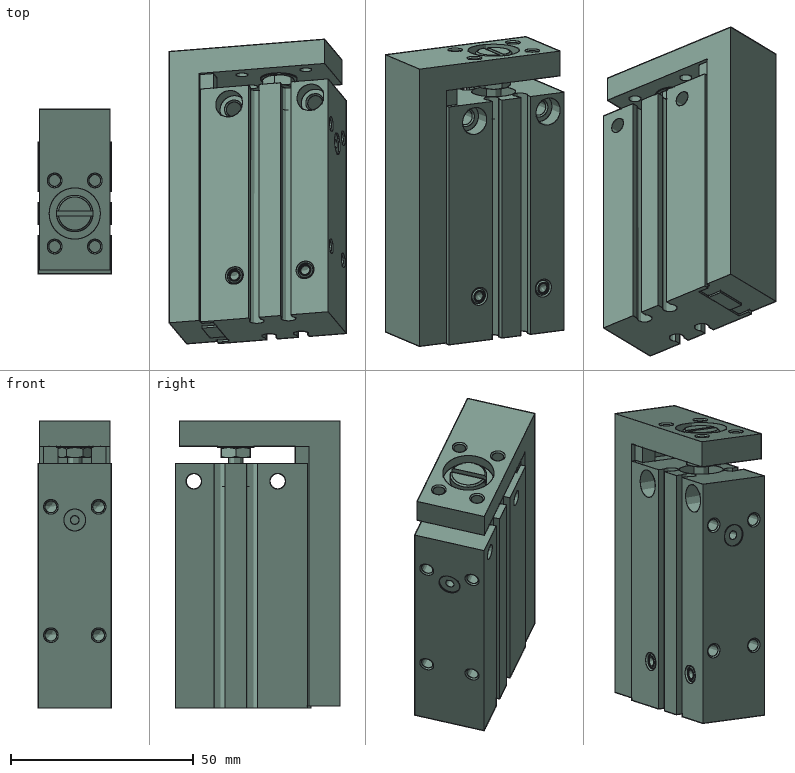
import cadquery as cq
import math


HOUSING_WIDTH = 20.0
HOUSING_DEPTH = 36.0
HOUSING_HEIGHT = 66.9
AXIS_Y = 16.5

TOTAL_HEIGHT = 78.5
TABLE_BACK = 45.0
TABLE_FRONT = 36.5
TABLE_BOTTOM = 0.55
TABLE_WIDTH = 19.4
TOP_PLATE_FRONT = 1.1
TOP_PLATE_BOTTOM = 71.5

GUIDE_WIDTH = 17.1
GUIDE_FRONT = 32.7
RAIL_WIDTH = 9.0
RAIL_BACK = 37.05

GROOVE_OFFSET = 4.5
GROOVE_MOUTH = 3.0
GROOVE_BORE = 4.0
GROOVE_BORE_INSET = 3.15

THREAD_MOUTH = 4.0
THREAD_CORE = 3.2
DRILL_POINT_ANGLE = 118.0
FRONT_HOLE_X = 6.5
FRONT_HOLE_ROWS = (19.9, 55.0)
FRONT_HOLE_DEPTH = 6.0
PLATE_HOLE_X = 5.5
PLATE_HOLE_OFFSET = 9.0

RELIEF_Z = 51.4
RELIEF_DIAMETER = 2.35
RELIEF_DEPTH = 4.7
RELIEF_SEAT_DIAMETER = 6.0
RELIEF_SEAT_DEPTH = 0.4

MOUNT_OFFSET = 11.5
MOUNT_Z = 62.0
MOUNT_SEAT_DIAMETER = 7.5
MOUNT_SEAT_DEPTH = 4.7
MOUNT_MOUTH = 5.0
MOUNT_CORE = 4.15

PORT_OFFSET = 10.0
PORT_Z = 12.55
PORT_MOUTH = 5.0
PORT_CORE = 4.15
PORT_DEPTH = 3.9

PLUG_RECESS = 0.15
PLUG_FACE_DIAMETER = 3.2
PLUG_HOLE_DIAMETER = 2.6
PLUG_HOLE_DEPTH = 0.2

GLAND_DIAMETER = 12.0
GLAND_DEPTH = 6.3

ROD_DIAMETER = 4.0
ROD_INSERTION = 7.85
NUT_SIDES = 6
NUT_FLATS = 8.0
NUT_BOTTOM = 68.45
NUT_CHAMFER_ANGLE = 30.0
SCREW_DIAMETER = 10.0
SCREW_BOTTOM = 71.2
SCREW_TOP = 78.2
SCREW_CHAMFER = 0.5
SLOT_WIDTH = 1.3
SLOT_DEPTH = 1.5
SCREW_SEAT_DIAMETER = 14.0
SCREW_SEAT_DEPTH = 3.0


def block(x_size, y_range, z_range):
    """Box centred on X = 0 between the given Y and Z limits."""
    y_low, y_high = y_range
    z_low, z_high = z_range
    corner = cq.Vector(-x_size / 2, y_low, z_low)
    return cq.Workplane(cq.Solid.makeBox(x_size, y_high - y_low, z_high - z_low, corner))


def drill(point, direction, diameter, depth, pointed=False):
    """Cutter for a round hole, with a conical end if pointed."""
    start = cq.Vector(*point)
    axis = cq.Vector(*direction)
    cutter = cq.Solid.makeCylinder(diameter / 2, depth, start, axis)
    if pointed:
        tip = diameter / 2 / math.tan(math.radians(DRILL_POINT_ANGLE / 2))
        cutter = cutter.fuse(cq.Solid.makeCone(diameter / 2, 0, tip, start + axis * depth, axis))
    return cutter


def countersink(point, direction, mouth, core):
    """Cutter for a 45 degree chamfer from the mouth diameter down to the core diameter."""
    depth = (mouth - core) / 2
    return cq.Solid.makeCone(mouth / 2, core / 2, depth, cq.Vector(*point), cq.Vector(*direction))


def make_sensor_grooves():
    """Cutters for the four grooves, two on each side."""
    cutters = []
    for side in (-1, 1):
        bore_x = side * (HOUSING_WIDTH / 2 - GROOVE_BORE_INSET)
        for offset in (-GROOVE_OFFSET, GROOVE_OFFSET):
            groove_y = AXIS_Y + offset
            cutters.append(drill((bore_x, groove_y, 0), (0, 0, 1), GROOVE_BORE, HOUSING_HEIGHT))
            mouth = block(
                GROOVE_BORE_INSET,
                (groove_y - GROOVE_MOUTH / 2, groove_y + GROOVE_MOUTH / 2),
                (0, HOUSING_HEIGHT),
            ).translate((side * (HOUSING_WIDTH - GROOVE_BORE_INSET) / 2, 0, 0))
            cutters.append(mouth.val())
    return cutters


def make_front_holes():
    """Cutters for the four threaded holes and the relief hole in the front face."""
    inward = (0, 1, 0)
    cutters = []
    for hole_x in (-FRONT_HOLE_X, FRONT_HOLE_X):
        for hole_z in FRONT_HOLE_ROWS:
            mouth = (hole_x, 0, hole_z)
            cutters.append(drill(mouth, inward, THREAD_CORE, FRONT_HOLE_DEPTH, pointed=True))
            cutters.append(countersink(mouth, inward, THREAD_MOUTH, THREAD_CORE))
    relief = (0, 0, RELIEF_Z)
    cutters.append(drill(relief, inward, RELIEF_SEAT_DIAMETER, RELIEF_SEAT_DEPTH))
    cutters.append(drill(relief, inward, RELIEF_DIAMETER, RELIEF_DEPTH))
    return cutters


def make_side_holes():
    """Cutters for the mounting holes and air ports entering from the left side."""
    inward = (1, 0, 0)
    left = -HOUSING_WIDTH / 2
    cutters = []
    for side in (-1, 1):
        mount_y = AXIS_Y + side * MOUNT_OFFSET
        mount_floor = (left + MOUNT_SEAT_DEPTH, mount_y, MOUNT_Z)
        cutters.append(drill((left, mount_y, MOUNT_Z), inward, MOUNT_SEAT_DIAMETER, MOUNT_SEAT_DEPTH))
        cutters.append(drill(mount_floor, inward, MOUNT_CORE, HOUSING_WIDTH - MOUNT_SEAT_DEPTH))
        cutters.append(countersink(mount_floor, inward, MOUNT_MOUTH, MOUNT_CORE))

        port = (left, AXIS_Y + side * PORT_OFFSET, PORT_Z)
        cutters.append(drill(port, inward, PORT_CORE, PORT_DEPTH))
        cutters.append(countersink(port, inward, PORT_MOUTH, PORT_CORE))
    return cutters


def make_housing():
    """Housing block with the guide slot, rod opening, sensor grooves and all holes."""
    body = block(HOUSING_WIDTH, (0, HOUSING_DEPTH), (0, HOUSING_HEIGHT))
    guide_slot = block(GUIDE_WIDTH, (GUIDE_FRONT, HOUSING_DEPTH), (0, HOUSING_HEIGHT))
    rod_mouth = (0, AXIS_Y, HOUSING_HEIGHT)
    gland = drill(rod_mouth, (0, 0, -1), GLAND_DIAMETER, GLAND_DEPTH)
    rod_hole = drill(rod_mouth, (0, 0, -1), ROD_DIAMETER, ROD_INSERTION)
    cutters = [guide_slot.val(), gland, rod_hole]
    cutters += make_sensor_grooves() + make_front_holes() + make_side_holes()
    for cutter in cutters:
        body = body.cut(cq.Workplane(cutter))
    return body


def make_table():
    """L-shaped table with the grooved guide, the screw seat and four threaded holes."""
    upright = block(TABLE_WIDTH, (TABLE_FRONT, TABLE_BACK), (TABLE_BOTTOM, TOTAL_HEIGHT))
    top_plate = block(TABLE_WIDTH, (TOP_PLATE_FRONT, TABLE_BACK), (TOP_PLATE_BOTTOM, TOTAL_HEIGHT))
    guide = block(GUIDE_WIDTH, (GUIDE_FRONT, TABLE_BACK), (TABLE_BOTTOM, TOTAL_HEIGHT))
    rail_channel = block(RAIL_WIDTH, (GUIDE_FRONT, RAIL_BACK), (TABLE_BOTTOM, TOP_PLATE_BOTTOM))
    table = upright.union(top_plate).union(guide).cut(rail_channel)

    down = (0, 0, -1)
    plate_thickness = TOTAL_HEIGHT - TOP_PLATE_BOTTOM
    seat = (0, AXIS_Y, TOTAL_HEIGHT)
    cutters = [
        drill(seat, down, SCREW_SEAT_DIAMETER, SCREW_SEAT_DEPTH),
        drill(seat, down, SCREW_DIAMETER, plate_thickness),
    ]
    for hole_x in (-PLATE_HOLE_X, PLATE_HOLE_X):
        for offset in (-PLATE_HOLE_OFFSET, PLATE_HOLE_OFFSET):
            mouth = (hole_x, AXIS_Y + offset, TOTAL_HEIGHT)
            cutters.append(drill(mouth, down, THREAD_CORE, plate_thickness))
            cutters.append(countersink(mouth, down, THREAD_MOUTH, THREAD_CORE))
    for cutter in cutters:
        table = table.cut(cq.Workplane(cutter))
    return table


def make_rail():
    """Rail on the floor of the guide slot, standing out behind the housing."""
    return block(RAIL_WIDTH, (GUIDE_FRONT, RAIL_BACK), (0, HOUSING_HEIGHT))


def make_plugs():
    """The two port plugs, each with a chamfered rim and a shallow drill hole in its outer end."""
    inward = (1, 0, 0)
    face_x = -HOUSING_WIDTH / 2 + PLUG_RECESS
    chamfer = (PORT_CORE - PLUG_FACE_DIAMETER) / 2
    plugs = cq.Workplane()
    for side in (-1, 1):
        face = (face_x, AXIS_Y + side * PORT_OFFSET, PORT_Z)
        plug = cq.Workplane(drill(face, inward, PORT_CORE, PORT_DEPTH - PLUG_RECESS))
        plug = plug.faces("<X").chamfer(chamfer)
        hole = drill(face, inward, PLUG_HOLE_DIAMETER, PLUG_HOLE_DEPTH, pointed=True)
        plug = plug.cut(cq.Workplane(hole))
        plugs = plugs.add(plug.solids())
    return plugs


def make_rod():
    """Rod from inside the housing up to the floating screw."""
    bottom = HOUSING_HEIGHT - ROD_INSERTION
    return cq.Workplane(drill((0, AXIS_Y, bottom), (0, 0, 1), ROD_DIAMETER, SCREW_BOTTOM - bottom))


def make_nut():
    """Hexagon nut with two corners on X and both ends chamfered to the flats."""
    height = SCREW_BOTTOM - NUT_BOTTOM
    corner_radius = NUT_FLATS / 2 / math.cos(math.pi / NUT_SIDES)
    chamfer = (corner_radius - NUT_FLATS / 2) * math.tan(math.radians(NUT_CHAMFER_ANGLE))
    envelope = (
        cq.Workplane("XZ")
        .polyline(
            [
                (0, 0),
                (NUT_FLATS / 2, 0),
                (corner_radius, chamfer),
                (corner_radius, height - chamfer),
                (NUT_FLATS / 2, height),
                (0, height),
            ]
        )
        .close()
        .revolve(360, (0, 0), (0, 1))
    )
    outline = cq.Workplane("XY").polygon(NUT_SIDES, 2 * corner_radius)
    hexagon = outline.circle(ROD_DIAMETER / 2).extrude(height)
    return hexagon.intersect(envelope).translate((0, AXIS_Y, NUT_BOTTOM))


def make_floating_screw():
    """Slotted round screw filling the bore of the top plate."""
    screw = (
        cq.Workplane("XY", origin=(0, AXIS_Y, SCREW_BOTTOM))
        .circle(SCREW_DIAMETER / 2)
        .extrude(SCREW_TOP - SCREW_BOTTOM)
        .faces(">Z")
        .chamfer(SCREW_CHAMFER)
    )
    slot_y = (AXIS_Y - SLOT_WIDTH / 2, AXIS_Y + SLOT_WIDTH / 2)
    return screw.cut(block(SCREW_DIAMETER, slot_y, (SCREW_TOP - SLOT_DEPTH, SCREW_TOP)))


housing = make_housing()
table = make_table()
rail = make_rail()
plugs = make_plugs()
rod = make_rod()
nut = make_nut()
floating_screw = make_floating_screw()

result = cq.Compound.makeCompound(
    [
        housing.solids().val(),
        table.solids().val(),
        rail.val(),
        *plugs.vals(),
        rod.val(),
        nut.solids().val(),
        floating_screw.solids().val(),
    ]
)